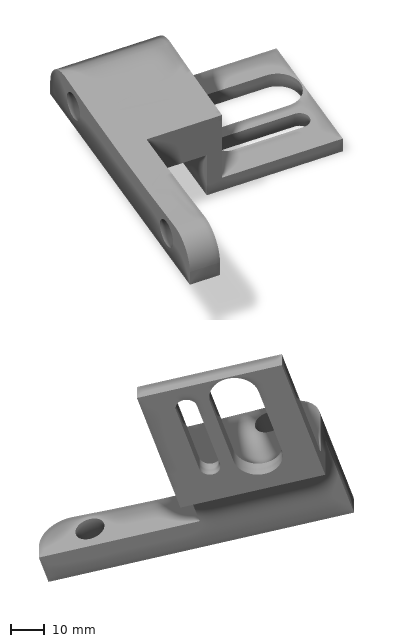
import cadquery as cq

length = 95.0
bracket_width = 45.0
thickness = 5.0

block_depth = 35.0
bar_depth = 10.0
body_height = 15.0
drop = 16.0
corner_radius = 10.0
top_sag = 0.95

plate_reach = 40.0
depth = block_depth + plate_reach

hole_diameter = 9.0
hole_inset = 15.9
hole_height = 7.8

slot_center_y = block_depth + plate_reach / 2
wide_slot_x = 17.1
wide_slot_length = 39.0
wide_slot_width = 15.0
narrow_slot_x = 32.0
narrow_slot_length = 30.5
narrow_slot_width = 6.5


def make_body():
    """Rounded, slightly hollow-topped body, cut back to an L in plan."""
    top = drop + body_height
    shoulder = top - corner_radius
    corner_offset = corner_radius * 0.5 ** 0.5
    inset = corner_radius - corner_offset
    profile = (
        cq.Workplane("XZ")
        .moveTo(0, drop)
        .lineTo(0, shoulder)
        .threePointArc((inset, top - inset), (corner_radius, top))
        .threePointArc((length / 2, top - top_sag), (length - corner_radius, top))
        .threePointArc((length - inset, top - inset), (length, shoulder))
        .lineTo(length, drop)
        .close()
    )
    body = profile.extrude(-block_depth)
    plan = (
        cq.Workplane("XY")
        .rect(bracket_width, block_depth, centered=False)
        .extrude(top)
        .union(cq.Workplane("XY").rect(length, bar_depth, centered=False).extrude(top))
    )
    return body.intersect(plan)


def make_riser_and_plate():
    """Vertical riser below the block's back edge, with the plate at its foot."""
    front = block_depth - thickness
    riser = cq.Workplane("XY").box(bracket_width, thickness, drop, centered=False)
    plate = cq.Workplane("XY").box(bracket_width, depth - front, thickness, centered=False)
    return riser.union(plate).translate((0, front, 0))


def make_slot(center_x, slot_length, slot_width):
    """Cutter for a round-ended slot running front to back."""
    return (
        cq.Workplane("XY")
        .center(center_x, slot_center_y)
        .slot2D(slot_length, slot_width, 90)
        .extrude(thickness)
    )


result = make_body().union(make_riser_and_plate())

for hole_x in (hole_inset, length - hole_inset):
    hole = (
        cq.Workplane("XZ")
        .center(hole_x, drop + hole_height)
        .circle(hole_diameter / 2)
        .extrude(-block_depth)
    )
    result = result.cut(hole)

result = result.cut(make_slot(wide_slot_x, wide_slot_length, wide_slot_width))
result = result.cut(make_slot(narrow_slot_x, narrow_slot_length, narrow_slot_width))